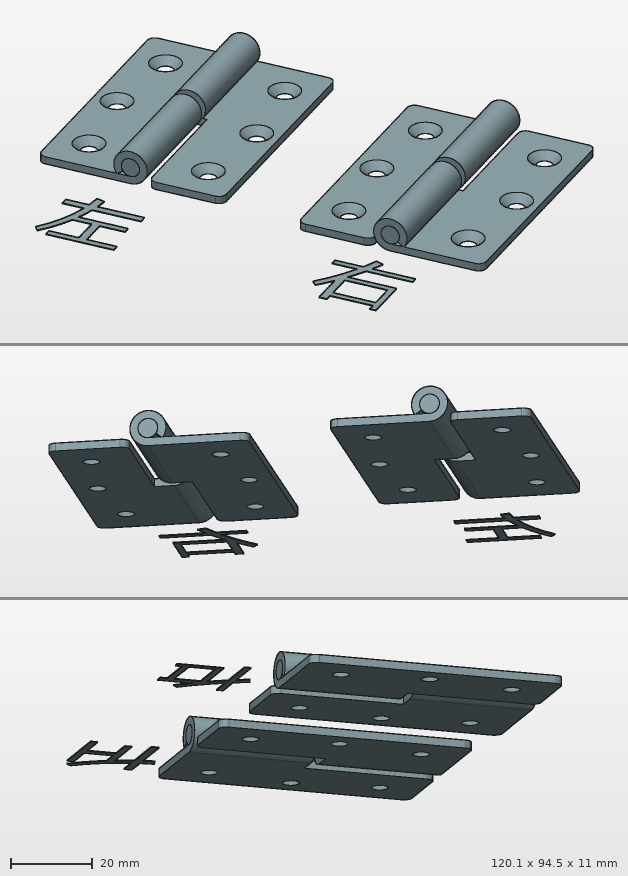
import cadquery as cq
import math

LEAF_THICKNESS = 2.0
PIN_DIAMETER = 4.9
HINGE_LENGTH = 65.0
HINGE_WIDTH = 50.0
CORNER_RADIUS = 2.0
LEAF_EDGE_OFFSET = 4.9
KNUCKLE_GAP = 2.2
CURL_END_ANGLE = 36

SCREW_HOLE_DIAMETER = 4.2
HOLE_PITCH = 22.0
OUTER_HOLE_OFFSET = 16.1
MIDDLE_HOLE_OFFSET = 18.9

HINGE_SPACING = 70.1
LEFT_HINGE_LIFT = 2.0

CHARACTER_THICKNESS = 0.2
LEFT_CHARACTER_BASE = -0.1
RIGHT_CHARACTER_BASE = 0.7

PIN_RADIUS = PIN_DIAMETER / 2
KNUCKLE_RADIUS = PIN_RADIUS + LEAF_THICKNESS
KNUCKLE_LENGTH = (HINGE_LENGTH - KNUCKLE_GAP) / 2
AXIS_HEIGHT = KNUCKLE_RADIUS
HALF_WIDTH = HINGE_WIDTH / 2
COUNTERSINK_DIAMETER = SCREW_HOLE_DIAMETER + 2 * LEAF_THICKNESS


def rod(radius, length):
    """Cylinder along the hinge axis, starting at the front end (Y = 0)."""
    return cq.Workplane("XZ", origin=(0, 0, AXIS_HEIGHT)).circle(radius).extrude(-length)


def block(x_range, y_range, thickness):
    """Flat rectangular block standing on Z = 0."""
    (x0, x1), (y0, y1) = x_range, y_range
    return cq.Workplane("XY").box(x1 - x0, y1 - y0, thickness, centered=False).translate((x0, y0, 0))


def make_curl():
    """Rolled knuckle: a ring with an open wedge between its end face and the leaf."""
    reach = 2 * KNUCKLE_RADIUS
    end_angle = math.radians(CURL_END_ANGLE)
    wedge = (
        cq.Workplane("XZ", origin=(0, 0, AXIS_HEIGHT))
        .polyline([(0, 0), (-reach * math.cos(end_angle), -reach * math.sin(end_angle)), (0, -reach)])
        .close()
        .extrude(-KNUCKLE_LENGTH)
    )
    ring = rod(KNUCKLE_RADIUS, KNUCKLE_LENGTH).cut(rod(PIN_RADIUS, KNUCKLE_LENGTH))
    return ring.cut(wedge)


def make_screw_holes():
    """Full-thickness conical holes of one leaf."""
    middle_y = HINGE_LENGTH / 2
    centres = [
        (-OUTER_HOLE_OFFSET, middle_y - HOLE_PITCH),
        (-MIDDLE_HOLE_OFFSET, middle_y),
        (-OUTER_HOLE_OFFSET, middle_y + HOLE_PITCH),
    ]
    cone = cq.Solid.makeCone(SCREW_HOLE_DIAMETER / 2, COUNTERSINK_DIAMETER / 2, LEAF_THICKNESS)
    return cq.Workplane("XY").pushPoints(centres).eachpoint(lambda place: cone.moved(place))


def make_leaf():
    """Leaf on the -X side, with its knuckle at the front half of the axis."""
    plate = block((-HALF_WIDTH, -LEAF_EDGE_OFFSET), (0, HINGE_LENGTH), LEAF_THICKNESS)
    plate = plate.edges("|Z and (<X or >Y)").fillet(CORNER_RADIUS)
    strip = block((-HALF_WIDTH / 2, 0), (0, KNUCKLE_LENGTH), LEAF_THICKNESS)
    return plate.union(strip).union(make_curl()).cut(make_screw_holes())


def make_hinge():
    """Two identical leaves, half a turn apart, and the pin that joins them."""
    front_leaf = make_leaf()
    back_leaf = front_leaf.rotate((0, 0, 0), (0, 0, 1), 180).translate((0, HINGE_LENGTH, 0))
    pin = rod(PIN_RADIUS, HINGE_LENGTH)
    return [front_leaf, back_leaf, pin]


def make_brush_stroke(top, left_middle, bottom, right_middle):
    """Slanting stroke between two arcs; top and bottom each give their left and right corner."""
    return (
        cq.Workplane("XY")
        .moveTo(*top[0])
        .threePointArc(left_middle, bottom[0])
        .lineTo(*bottom[1])
        .threePointArc(right_middle, top[1])
        .close()
        .extrude(CHARACTER_THICKNESS)
    )


def make_character(stroke, bars):
    """One character: a slanting stroke joined to straight bars given as X and Y ranges."""
    for x_range, y_range in bars:
        stroke = stroke.union(block(x_range, y_range, CHARACTER_THICKNESS))
    return stroke


def make_left_character():
    stroke = make_brush_stroke(
        top=[(-5.8, -7.0), (-3.5, -7.6)],
        left_middle=(-8.2, -17.3),
        bottom=[(-13.5, -26.0), (-12.3, -27.4)],
        right_middle=(-6.0, -17.3),
    )
    return make_character(stroke, [
        ((-12.5, 8.8), (-12.6, -10.6)),
        ((-7.8, 7.5), (-19.0, -17.2)),
        ((-1.6, 0.6), (-27.0, -18.0)),
        ((-9.6, 8.8), (-28.2, -26.4)),
    ])


def make_right_character():
    stroke = make_brush_stroke(
        top=[(-0.2, -7.5), (1.9, -8.2)],
        left_middle=(-4.2, -15.3),
        bottom=[(-10.1, -23.1), (-8.8, -24.4)],
        right_middle=(-2.4, -16.2),
    )
    return make_character(stroke, [
        ((-9.6, 12.1), (-13.0, -11.3)),
        ((-5.4, 10.0), (-19.2, -17.5)),
        ((-5.4, 10.0), (-27.7, -26.1)),
        ((-5.4, -3.2), (-29.5, -18.6)),
        ((8.3, 10.0), (-29.5, -18.0)),
    ])


left_hinge = [body.translate((0, 0, LEFT_HINGE_LIFT)) for body in make_hinge()]
right_hinge = [body.mirror("YZ").translate((HINGE_SPACING, 0, 0)) for body in make_hinge()]
left_character = make_left_character().translate((0, 0, LEFT_CHARACTER_BASE))
right_character = make_right_character().translate((HINGE_SPACING, 0, RIGHT_CHARACTER_BASE))

bodies = [*left_hinge, *right_hinge, left_character, right_character]
result = cq.Compound.makeCompound([body.solids().val() for body in bodies])